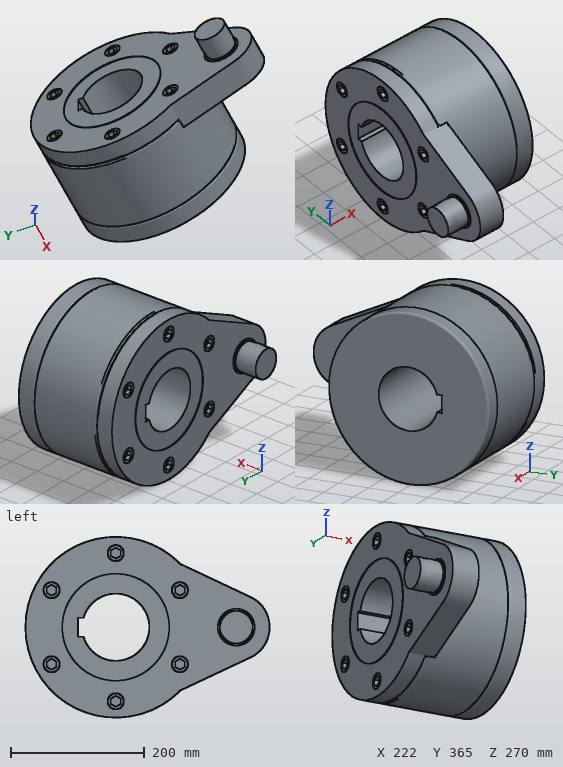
import cadquery as cq
import math


drum_diameter = 270.0
drum_length = 181.0
groove_radius = 3.0
rear_radius = 3.5
flange_length = 30.3
groove_spacing = 120.0

hub_diameter = 160.0
hub_height = 1.0
bore_diameter = 100.0
key_width = 28.0
key_reach = 56.2

lug_thickness = 45.0
lug_radius = 50.0
lug_taper = math.radians(25.2)
overall_width = 365.0
lug_reach = overall_width - drum_diameter / 2
pin_y = -(lug_reach - lug_radius)

pin_diameter = 50.0
pin_end_diameter = 49.3
pin_overhang = 41.0
roller_length = 39.0
neck_diameter = 47.5
collar_diameter = 55.0
collar_height = 1.0

screw_count = 6
first_screw_angle = 90
screw_circle_radius = 110.5
counterbore_diameter = 24.5
head_diameter = 23.5
head_height = 16.0
socket_sides = 6
socket_corner_width = 16.5
socket_depth = 8.0


def disc(diameter, x_start, x_end):
    """Round disc on the drum axis between two X positions."""
    return cq.Workplane("YZ").workplane(offset=x_start).circle(diameter / 2).extrude(x_end - x_start)


def drum():
    """Three rings in a row; rounded edges leave a cusp groove at each joint and a soft rear rim."""
    first_joint = flange_length
    second_joint = flange_length + groove_spacing
    front = disc(drum_diameter, 0, first_joint).faces(">X").edges().fillet(groove_radius)
    middle = disc(drum_diameter, first_joint, second_joint).edges().fillet(groove_radius)
    rear = disc(drum_diameter, second_joint, drum_length).faces("<X").edges().fillet(groove_radius)
    rear = rear.faces(">X").edges().fillet(rear_radius)
    return front.union(middle).union(rear)


def lug():
    """Tapered arm whose straight flanks run tangent into the rounded tip."""
    tangent_y = pin_y - lug_radius * math.sin(lug_taper)
    tangent_z = lug_radius * math.cos(lug_taper)
    root_z = drum_diameter / 2 * math.sin(math.pi / 4)
    root_y = tangent_y + (root_z - tangent_z) / math.tan(lug_taper)
    return (
        cq.Workplane("YZ")
        .moveTo(0, root_z)
        .lineTo(root_y, root_z)
        .lineTo(tangent_y, tangent_z)
        .threePointArc((pin_y - lug_radius, 0), (tangent_y, -tangent_z))
        .lineTo(root_y, -root_z)
        .lineTo(0, -root_z)
        .close()
        .extrude(lug_thickness)
    )


def pin():
    """Slightly barrel-shaped roller standing on a short neck and a thin collar."""
    roller_end = roller_length - pin_overhang
    roller_middle = roller_length / 2 - pin_overhang
    roller = (
        cq.Workplane("XY")
        .moveTo(roller_end, 0)
        .lineTo(-pin_overhang, 0)
        .lineTo(-pin_overhang, pin_end_diameter / 2)
        .threePointArc((roller_middle, pin_diameter / 2), (roller_end, pin_end_diameter / 2))
        .close()
        .revolve(360, (0, 0, 0), (1, 0, 0))
    )
    collar = disc(collar_diameter, -collar_height, 0)
    neck = disc(neck_diameter, roller_end, 0)
    return roller.union(neck).union(collar).translate((0, pin_y, 0))


def bore():
    """Through bore with a keyway on the side away from the lug."""
    length = hub_height + drum_length
    keyway = cq.Workplane("XY").box(length, key_reach, key_width, centered=(False, False, True))
    return disc(bore_diameter, -hub_height, drum_length).union(keyway.translate((-hub_height, 0, 0)))


def screw_recess():
    """Clearance ring around a flush screw head, plus its hexagon socket with corners up and down."""
    gap = disc(counterbore_diameter, 0, head_height).cut(disc(head_diameter, 0, head_height))
    socket = (
        cq.Workplane("YZ")
        .polygon(socket_sides, socket_corner_width)
        .extrude(socket_depth)
        .rotate((0, 0, 0), (1, 0, 0), 90)
    )
    return gap.union(socket)


result = drum().union(lug()).union(disc(hub_diameter, -hub_height, 0)).union(pin()).cut(bore())
for index in range(screw_count):
    angle = math.radians(first_screw_angle + index * 360 / screw_count)
    place = (0, screw_circle_radius * math.cos(angle), screw_circle_radius * math.sin(angle))
    result = result.cut(screw_recess().translate(place))